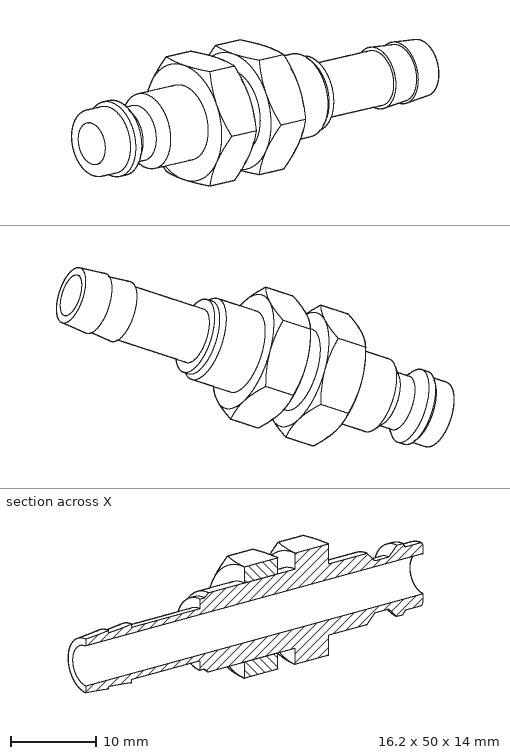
import cadquery as cq
import math

length = 50.0
bore_radius = 2.5

nose_radius = 4.0
nose_rounding = 0.4
plug_radius = 4.5
groove_radius = 3.3
nose_end = 2.6
collar_start = 3.0
collar_end = 3.9
groove_start = 5.1
groove_end = 7.1
shank_start = groove_end + plug_radius - groove_radius

hex_across_flats = 14.0
hex_width = 5.0
hex_gap = 2.5
hex_chamfer_angle = 30.0
flange_start = 14.0
flange_end = flange_start + hex_width
nut_start = flange_end + hex_gap
thread_radius = 5.0
thread_relief_radius = 4.5
thread_end = 31.8
relief_start = 32.4
relief_end = 33.1

stem_radius = 3.3
barb_tip_radius = 3.4
barb_radius = 3.7
barb_count = 2
barb_length = 3.4
barbs_start = length - barb_count * barb_length


def revolve_about_y(profile):
    """Revolve a closed (radius, Y) outline about the Y axis."""
    return profile.close().revolve(360, (0, 0, 0), (0, 1, 0))


def chamfered_hexagon(start):
    """Hexagonal prism with corners on X and both ends cut by a cone."""
    corner_radius = hex_across_flats / 2 / math.cos(math.radians(30))
    face_radius = hex_across_flats / 2
    chamfer_depth = (corner_radius - face_radius) * math.tan(math.radians(hex_chamfer_angle))
    end = start + hex_width
    prism = (
        cq.Workplane("XZ", origin=(0, start, 0))
        .polygon(6, 2 * corner_radius)
        .extrude(-hex_width)
    )
    envelope = revolve_about_y(
        cq.Workplane("XY").polyline([
            (0, start),
            (face_radius, start),
            (corner_radius, start + chamfer_depth),
            (corner_radius, end - chamfer_depth),
            (face_radius, end),
            (0, end),
        ])
    )
    return prism.intersect(envelope)


def turned_profile():
    """Outer outline of the body from the plug tip to the hose end."""
    rounding_mid = nose_rounding * math.sqrt(0.5)
    profile = (
        cq.Workplane("XY")
        .moveTo(0, 0)
        .lineTo(nose_radius - nose_rounding, 0)
        .threePointArc(
            (nose_radius - nose_rounding + rounding_mid, nose_rounding - rounding_mid),
            (nose_radius, nose_rounding),
        )
        .lineTo(nose_radius, nose_end)
        .lineTo(plug_radius, collar_start)
        .lineTo(plug_radius, collar_end)
        .lineTo(groove_radius, groove_start)
        .lineTo(groove_radius, groove_end)
        .lineTo(plug_radius, shank_start)
        .lineTo(plug_radius, flange_end)
        .lineTo(thread_radius, flange_end)
        .lineTo(thread_radius, thread_end)
        .lineTo(thread_relief_radius, relief_start)
        .lineTo(thread_relief_radius, relief_end)
        .lineTo(stem_radius, relief_end)
        .lineTo(stem_radius, barbs_start)
    )
    for index in range(barb_count):
        barb_start = barbs_start + index * barb_length
        profile = profile.lineTo(barb_radius, barb_start).lineTo(barb_tip_radius, barb_start + barb_length)
    return profile.lineTo(0, length)


def make_plug_body():
    """Coupling plug with hexagonal flange, thread, hose tail and through bore."""
    bore = cq.Workplane("XZ").circle(bore_radius).extrude(-length)
    return revolve_about_y(turned_profile()).union(chamfered_hexagon(flange_start)).cut(bore)


def make_lock_nut():
    """Hexagonal nut that fits around the thread cylinder."""
    thread_hole = cq.Workplane("XZ", origin=(0, nut_start, 0)).circle(thread_radius).extrude(-hex_width)
    return chamfered_hexagon(nut_start).cut(thread_hole)


plug_body = make_plug_body()
lock_nut = make_lock_nut()

result = cq.Compound.makeCompound([plug_body.val(), lock_nut.val()])